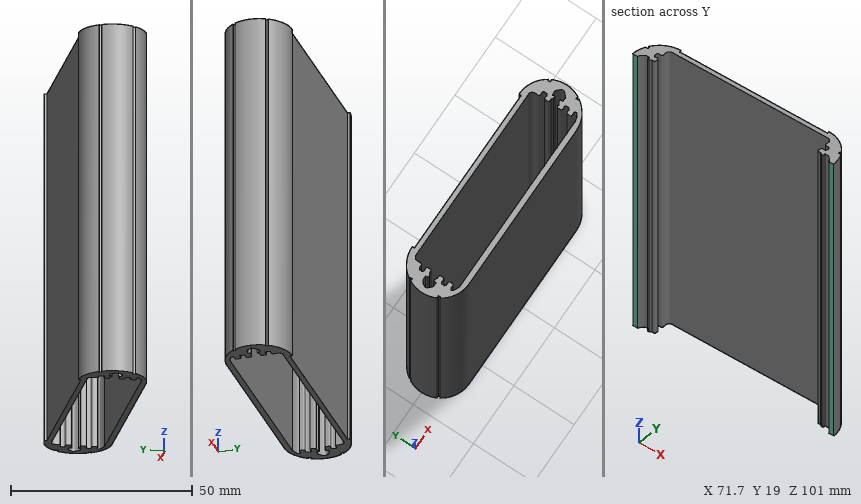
import cadquery as cq

LENGTH = 101.0
WIDTH = 71.7
DEPTH = 19.0
END_RADIUS = DEPTH / 2
ARC_CENTER_X = WIDTH / 2 - END_RADIUS

BACK_WALL = 1.5
END_WALL = 1.4
FRONT_WALL = 1.7
RECESS_DEPTH = 0.7
BACK_INNER_Y = END_RADIUS - RECESS_DEPTH - BACK_WALL
FRONT_INNER_Y = -(END_RADIUS - FRONT_WALL)
INNER_RADIUS = END_RADIUS - END_WALL

TOOTH_TIP_X = 29.0
BACK_CORNER_RADIUS = 1.2

EDGE_RADIUS = 0.4

SLOT_FLOOR_X = 30.7
GUIDE_SLOT_NEAR_Y = 2.9
GUIDE_SLOT_FAR_Y = 4.4
WALL_SLOT_TOP_Y = -6.1

PORT_APEX_X = 34.4
PORT_CORNER_RADIUS = 1.0
PORT_LIP_X = 31.3
LIP_END_X = 30.7
NECK_START_X = 30.1
PORT_HALF_HEIGHT = 1.7
PORT_SHOULDER_X = PORT_APEX_X - PORT_HALF_HEIGHT
LIP_HALF_GAP = 0.9
NECK_HALF_GAP = 1.3

GROOVE_FLOOR_X = 34.0
GROOVE_NEAR_Y = 4.3
GROOVE_FAR_Y = 5.0


def block(x_min, x_max, y_min, y_max):
    """Full-length bar covering the given rectangle of the profile."""
    size_x = x_max - x_min
    size_y = y_max - y_min
    return cq.Workplane("XY").box(size_x, size_y, LENGTH, centered=False).translate((x_min, y_min, 0))


def outer_body():
    """Solid stadium bar with the shallow recess across its +Y face."""
    stadium = cq.Workplane("XY").slot2D(WIDTH, DEPTH).extrude(LENGTH)
    recess = block(-ARC_CENTER_X, ARC_CENTER_X, END_RADIUS - RECESS_DEPTH, END_RADIUS)
    return stadium.cut(recess)


def inner_limit():
    """Stadium leaving an even wall around the ends, cropped by the flat front wall."""
    stadium_width = 2 * (ARC_CENTER_X + INNER_RADIUS)
    stadium = cq.Workplane("XY").slot2D(stadium_width, 2 * INNER_RADIUS).extrude(LENGTH)
    return stadium.intersect(block(-WIDTH / 2, WIDTH / 2, FRONT_INNER_Y, BACK_INNER_Y))


def main_cavity():
    """Opening through the middle, rounded at the +Y corners and following the end wall at -Y."""
    cavity = block(-TOOTH_TIP_X, TOOTH_TIP_X, FRONT_INNER_Y, BACK_INNER_Y)
    cavity = cavity.edges("|Z and >Y").fillet(BACK_CORNER_RADIUS)
    return cavity.intersect(inner_limit())


def guide_slots():
    """Two mirrored guide slots and the slot along the front wall, at the +X end."""
    back_slot = block(0, SLOT_FLOOR_X, GUIDE_SLOT_NEAR_Y, GUIDE_SLOT_FAR_Y)
    back_slot = back_slot.edges("|Z and >X").fillet(EDGE_RADIUS)
    front_slot = back_slot.mirror("XZ")
    wall_slot = block(0, SLOT_FLOOR_X, FRONT_INNER_Y, WALL_SLOT_TOP_Y).intersect(inner_limit())
    wall_slot = wall_slot.edges("|Z and >X").fillet(EDGE_RADIUS)
    return back_slot.union(front_slot).union(wall_slot)


def screw_port():
    """Pointed screw port with retaining lips, at the +X end."""
    upper_side = [
        (0, NECK_HALF_GAP),
        (NECK_START_X, NECK_HALF_GAP),
        (LIP_END_X, LIP_HALF_GAP),
        (PORT_LIP_X, LIP_HALF_GAP),
        (PORT_LIP_X, PORT_HALF_HEIGHT),
        (PORT_SHOULDER_X, PORT_HALF_HEIGHT),
    ]
    lower_side = [(x, -y) for x, y in reversed(upper_side)]
    outline = upper_side + [(PORT_APEX_X, 0)] + lower_side
    port = cq.Workplane("XY").polyline(outline).close().extrude(LENGTH)
    pointed_end = cq.selectors.BoxSelector(
        ((PORT_LIP_X + PORT_SHOULDER_X) / 2, -DEPTH, 0),
        (WIDTH, DEPTH, LENGTH),
    )
    return port.edges("|Z").edges(pointed_end).fillet(PORT_CORNER_RADIUS)


def outer_grooves():
    """Pair of shallow grooves on the outside of the +X end."""
    back_groove = block(GROOVE_FLOOR_X, WIDTH / 2, GROOVE_NEAR_Y, GROOVE_FAR_Y)
    return back_groove.union(back_groove.mirror("XZ"))


result = outer_body().cut(main_cavity())
for end_cut in (guide_slots(), screw_port(), outer_grooves()):
    result = result.cut(end_cut).cut(end_cut.mirror("YZ"))

opening_heights = (GUIDE_SLOT_NEAR_Y, GUIDE_SLOT_FAR_Y, NECK_HALF_GAP)
tip_corner_heights = [side * y for y in opening_heights for side in (-1, 1)] + [WALL_SLOT_TOP_Y]
tip_corners = [
    (side * TOOTH_TIP_X, y, LENGTH / 2)
    for side in (-1, 1)
    for y in tip_corner_heights
]
for corner in tip_corners:
    result = result.edges(cq.selectors.NearestToPointSelector(corner)).fillet(EDGE_RADIUS)